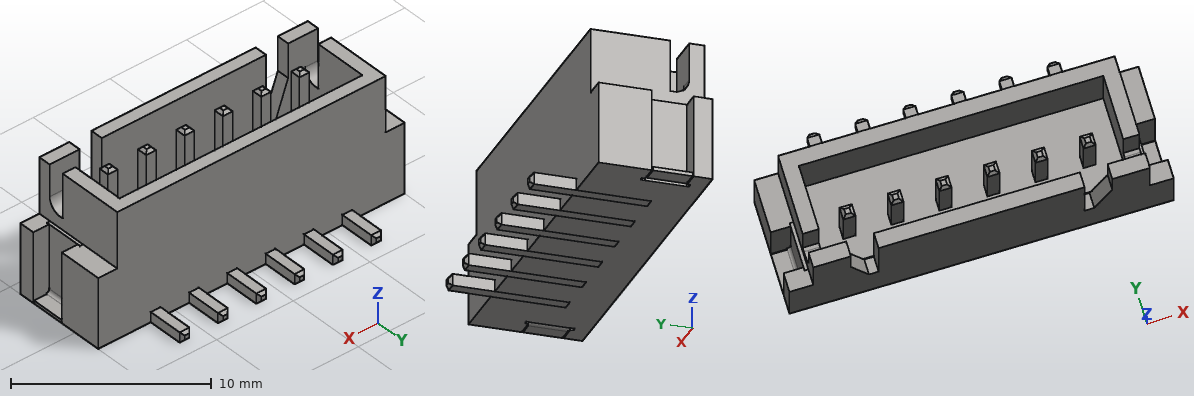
import cadquery as cq

length = 20.0
depth = 6.0
height = 7.9

shelf_length = 1.25
shelf_height = 4.4

long_wall = 0.8
end_wall = 0.85
floor_height = 3.38

slot_outer_x = 6.8
slot_inner_x = 5.35
slot_toe_x = 5.85
slot_knee_height = 5.75
slot_bottom = 3.18

notch_width = 1.0
notch_bottom = 5.12
notch_radius = 0.8

pin_count = 6
pin_pitch = 2.5
pin_size = 0.65
pin_y = 2.38
pin_top = 7.48
pin_tail_end = 8.4
pin_tip = 0.18

tab_thickness = 0.2
tab_bend_radius = 0.2
tab_centre_y = 2.1
tab_plate_width = 2.55
tab_foot_width = 2.08
recess_width = 2.2

shroud_end_x = length / 2 - shelf_length
cavity_length = 2 * (shroud_end_x - end_wall)
tab_inner_x = shroud_end_x
tab_outer_x = tab_inner_x + tab_thickness
bend_outer_radius = tab_bend_radius + tab_thickness
bend_end_x = tab_inner_x + bend_outer_radius
pin_xs = [(i - (pin_count - 1) / 2) * pin_pitch for i in range(pin_count)]


def box(x_range, y_range, z_range):
    """Box between two limits on each axis."""
    limits = (x_range, y_range, z_range)
    sizes = [high - low for low, high in limits]
    corner = tuple(low for low, high in limits)
    return cq.Workplane("XY").box(*sizes, centered=False).translate(corner)


def about(centre, width):
    """Limits of a width centred on a place."""
    return (centre - width / 2, centre + width / 2)


def mirrored(right_half):
    """The same shape at the -X end."""
    return right_half.mirror("YZ")


def make_pin(x):
    """L-shaped pin: upright contact and a tail leaving through the back, with chamfered tips."""
    contact = (
        cq.Workplane("XY")
        .box(pin_size, pin_size, pin_top, centered=(True, True, False))
        .faces(">Z").chamfer(pin_tip)
        .translate((x, pin_y, 0))
    )
    tail = (
        box(about(x, pin_size), (pin_y, pin_tail_end), (0, pin_size))
        .faces(">Y").chamfer(pin_tip)
    )
    return contact.union(tail)


def make_tab():
    """Solder tab at the +X end: upright plate, concentric bend and a narrower foot."""
    plate = box(
        (tab_inner_x, tab_outer_x),
        about(tab_centre_y, tab_plate_width),
        (bend_outer_radius, shelf_height),
    )
    bend = (
        cq.Workplane("XZ")
        .moveTo(tab_inner_x, bend_outer_radius)
        .radiusArc((bend_end_x, 0), -bend_outer_radius)
        .lineTo(bend_end_x, tab_thickness)
        .radiusArc((tab_outer_x, bend_outer_radius), tab_bend_radius)
        .close()
        .extrude(-recess_width)
        .translate((0, tab_centre_y - recess_width / 2, 0))
    )
    foot = box(
        (bend_end_x, length / 2),
        about(tab_centre_y, tab_foot_width),
        (0, tab_thickness),
    )
    return plate.union(bend).union(foot)


def make_tab_pocket():
    """Seat for the tab at the +X end: a slot for the plate, opening outwards as a recess."""
    plate_slot = box(
        (tab_inner_x, tab_outer_x),
        about(tab_centre_y, tab_plate_width),
        (0, shelf_height),
    )
    recess = box(
        (tab_outer_x, length / 2),
        about(tab_centre_y, recess_width),
        (0, shelf_height),
    )
    return plate_slot.union(recess)


def make_front_slot():
    """Slot through the front wall on the +X side, its outer flank tapering inwards below the knee."""
    return (
        cq.Workplane("XZ")
        .polyline([
            (slot_inner_x, slot_bottom),
            (slot_toe_x, slot_bottom),
            (slot_outer_x, slot_knee_height),
            (slot_outer_x, height),
            (slot_inner_x, height),
        ])
        .close()
        .extrude(-long_wall)
    )


def make_cavity():
    """Mating cavity, open at the top."""
    return box(about(0, cavity_length), (long_wall, depth - long_wall), (floor_height, height))


def make_end_notch():
    """Notch across both end walls, with a rounded corner at the foot of the front wall."""
    return (
        box(about(0, 2 * shroud_end_x), (long_wall, long_wall + notch_width), (notch_bottom, height))
        .edges("|X and <Y and <Z").fillet(notch_radius)
    )


def make_housing(pins):
    """Shrouded housing with seats for the pins and the solder tabs."""
    body = (
        box(about(0, length), (0, depth), (0, shelf_height))
        .union(box(about(0, 2 * shroud_end_x), (0, depth), (shelf_height, height)))
    )
    body = body.cut(make_cavity())
    body = body.cut(make_end_notch())
    for end_feature in (make_front_slot(), make_tab_pocket()):
        body = body.cut(end_feature).cut(mirrored(end_feature))
    for pin in pins:
        body = body.cut(pin)
    return body


pins = [make_pin(x) for x in pin_xs]
right_tab = make_tab()
left_tab = mirrored(right_tab)
housing = make_housing(pins)

result = cq.Compound.makeCompound([
    housing.val(),
    *[pin.val() for pin in pins],
    right_tab.val(),
    left_tab.val(),
])